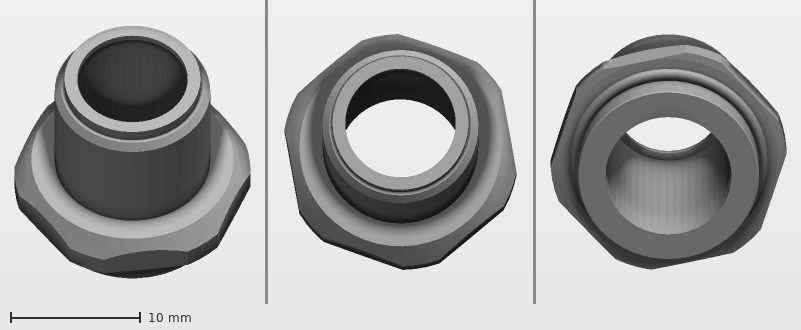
import cadquery as cq

flat_width = 17.0
corner_diameter = 18.2
hex_top_diameter = 15.6
hex_bottom = 3.0
underside_bevel_width = 0.6
underside_bevel_rise = 0.07
hex_top = 6.0
neck_radius = 6.0
neck_top = 15.0
neck_chamfer = 0.51

spigot_radius = 6.99
spigot_shoulder = 2.15
spigot_fillet = 0.5
spigot_end_chamfer = 0.1

seal_section_radius = 0.5
seal_centre_radius = 7.2
seal_bottom = 2.6
seal_centre_height = seal_bottom + seal_section_radius

sleeve_radius = 5.25
sleeve_bore_radius = 4.86
sleeve_top = 16.0
lip_radius = 4.25
lip_thickness = 0.51


def cylinder(radius, bottom, top):
    return cq.Workplane("XY").workplane(offset=bottom).circle(radius).extrude(top - bottom)


def make_seal():
    return (
        cq.Workplane("XZ")
        .center(seal_centre_radius, seal_centre_height)
        .circle(seal_section_radius)
        .revolve(360, (-seal_centre_radius, 0), (-seal_centre_radius, 1))
    )


def make_hexagon():
    chamfer = (corner_diameter - hex_top_diameter) / 2
    turned = cylinder(corner_diameter / 2, hex_bottom, hex_top).faces(">Z").chamfer(chamfer)
    turned = turned.faces("<Z").chamfer(underside_bevel_rise, underside_bevel_width)
    prism = (
        cq.Workplane("XY")
        .workplane(offset=hex_bottom)
        .polygon(6, flat_width, circumscribed=True)
        .extrude(hex_top - hex_bottom)
    )
    return turned.intersect(prism)


def make_spigot():
    waist_radius = spigot_radius - spigot_fillet
    collar_top = spigot_shoulder + spigot_fillet
    collar = (
        cylinder(spigot_radius, 0, collar_top)
        .faces(">Z").fillet(spigot_fillet)
        .faces("<Z").chamfer(spigot_end_chamfer)
    )
    return collar.union(cylinder(waist_radius, 0, hex_bottom))


def make_body(seal):
    neck = cylinder(neck_radius, hex_bottom, neck_top).faces(">Z").chamfer(neck_chamfer)
    sleeve_hole = cylinder(sleeve_radius, 0, neck_top)
    return make_hexagon().union(make_spigot()).union(neck).cut(sleeve_hole).cut(seal)


def make_sleeve():
    bore = cylinder(sleeve_bore_radius, 0, sleeve_top - lip_thickness)
    lip_opening = cylinder(lip_radius, 0, sleeve_top)
    return cylinder(sleeve_radius, 0, sleeve_top).cut(bore).cut(lip_opening)


seal = make_seal()
body = make_body(seal)
sleeve = make_sleeve()

result = cq.Compound.makeCompound([body.solids().val(), seal.val(), sleeve.solids().val()])